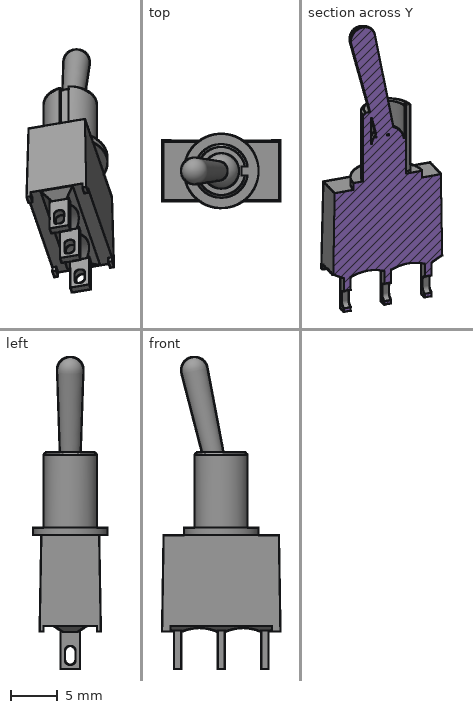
import cadquery as cq
import math

foot_z = 4.0
underside_z = 4.6
body_top_z = 14.35
flange_top_z = 15.15
bushing_top_z = 23.23
overall_height = 33.42

body_length, body_width = 12.7, 6.6
body_top_length, body_top_width = 12.35, 6.2
foot_gap_x, foot_gap_y = 10.83, 5.7

flange_diameter = 8.0
bushing_diameter = 5.75
bushing_chamfer = 0.3
bore_diameter = 3.8
keyway_width = 1.0
keyway_floor_x = 2.17

pivot_z = 19.15
tip_radius = 1.45
tip_offset = 2.87
lever_root_radius = 1.0

terminal_pitch = 4.68
terminal_thickness = 0.8
terminal_width = 2.1
eyelet_width = 1.1
eyelet_height = 2.0
eyelet_bottom_z = 0.47

seal_length = 12.5
seal_width, seal_bottom_width = 3.55, 1.6
seal_min_depth = 0.25
seal_bottom_z = 3.98


def make_body():
    body = (
        cq.Workplane("XY", origin=(0, 0, foot_z))
        .rect(body_length, body_width)
        .workplane(offset=body_top_z - foot_z)
        .rect(body_top_length, body_top_width)
        .loft(ruled=True)
    )
    gap_height = underside_z - foot_z
    gap_base = cq.Workplane("XY", origin=(0, 0, foot_z))
    for size_x, size_y in ((foot_gap_x, body_width), (body_length, foot_gap_y)):
        body = body.cut(gap_base.rect(size_x, size_y).extrude(gap_height))
    return body


def make_bushing():
    flange = (
        cq.Workplane("XY", origin=(0, 0, body_top_z))
        .circle(flange_diameter / 2)
        .extrude(flange_top_z - body_top_z)
    )
    barrel = (
        cq.Workplane("XY", origin=(0, 0, flange_top_z))
        .circle(bushing_diameter / 2)
        .extrude(bushing_top_z - flange_top_z)
        .faces(">Z")
        .chamfer(bushing_chamfer)
    )
    bore = (
        cq.Workplane("XY", origin=(0, 0, pivot_z))
        .circle(bore_diameter / 2)
        .extrude(bushing_top_z - pivot_z)
    )
    keyway = cq.Workplane("XY", origin=(keyway_floor_x, 0, flange_top_z)).box(
        bushing_diameter / 2, keyway_width, bushing_top_z - flange_top_z, centered=(False, True, False)
    )
    return flange.union(barrel.cut(bore).cut(keyway))


def make_lever():
    tip_rise = overall_height - tip_radius - pivot_z
    tip_distance = math.hypot(tip_offset, tip_rise)
    lean = math.degrees(math.atan2(tip_offset, tip_rise))
    shaft = (
        cq.Workplane("XZ")
        .lineTo(lever_root_radius, 0)
        .lineTo(tip_radius, tip_distance)
        .lineTo(0, tip_distance)
        .close()
        .revolve(360, (0, 0), (0, 1))
    )
    tip = cq.Workplane("XY", origin=(0, 0, tip_distance)).sphere(tip_radius)
    ball = cq.Workplane("XY").sphere(bore_diameter / 2)
    lever = shaft.union(tip).union(ball)
    return lever.rotate((0, 0, 0), (0, 1, 0), -lean).translate((0, 0, pivot_z))


def make_terminal(x):
    blade = cq.Workplane("XY", origin=(x, 0, 0)).box(
        terminal_thickness, terminal_width, underside_z, centered=(True, True, False)
    )
    eyelet = (
        cq.Workplane("YZ", origin=(x, 0, eyelet_bottom_z + eyelet_height / 2))
        .slot2D(eyelet_height, eyelet_width, 90)
        .extrude(terminal_thickness, both=True)
    )
    return blade.cut(eyelet)


def make_seal():
    half_length = seal_length / 2
    half_blade = terminal_thickness / 2
    valley_z = underside_z - seal_min_depth
    lengthwise = (
        cq.Workplane("XZ", origin=(0, seal_width / 2, 0))
        .moveTo(-half_length, underside_z)
        .lineTo(-terminal_pitch - half_blade, seal_bottom_z)
    )
    for start_x in (-terminal_pitch, 0):
        lengthwise = (
            lengthwise.lineTo(start_x + half_blade, seal_bottom_z)
            .threePointArc(
                (start_x + terminal_pitch / 2, valley_z),
                (start_x + terminal_pitch - half_blade, seal_bottom_z),
            )
        )
    lengthwise = (
        lengthwise.lineTo(terminal_pitch + half_blade, seal_bottom_z)
        .lineTo(half_length, underside_z)
        .close()
        .extrude(seal_width)
    )
    crosswise = (
        cq.Workplane("YZ", origin=(-half_length, 0, 0))
        .moveTo(-seal_width / 2, underside_z)
        .lineTo(-seal_bottom_width / 2, seal_bottom_z)
        .lineTo(seal_bottom_width / 2, seal_bottom_z)
        .lineTo(seal_width / 2, underside_z)
        .close()
        .extrude(seal_length)
    )
    return lengthwise.intersect(crosswise)


result = make_body().union(make_bushing()).union(make_lever()).union(make_seal())
for terminal_x in (-terminal_pitch, 0, terminal_pitch):
    result = result.union(make_terminal(terminal_x))